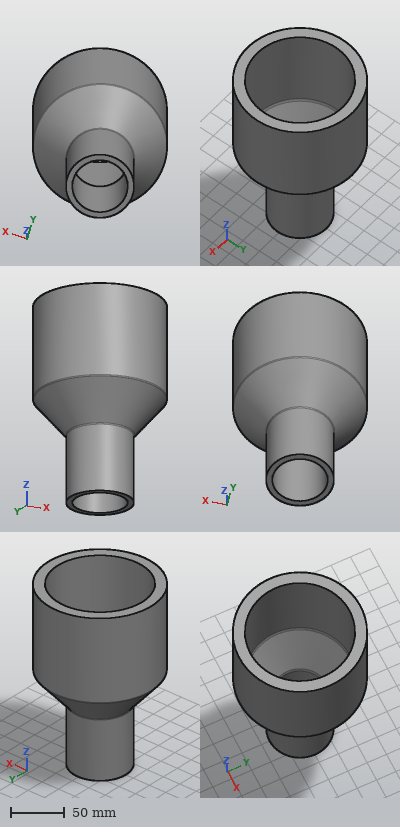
import cadquery as cq

total_height = 195.0
large_radius = 125.0 / 2
small_radius = 63.2 / 2
large_wall = 11.3
small_wall = 5.8
small_length = 67.0
large_length = 91.8
outer_blend_radius = 2.0
bore_blend_radius = 5.0

cone_bottom = small_length
cone_top = total_height - large_length


def stepped_body(wide_radius, narrow_radius, blend_radius):
    """Narrow cylinder, cone and wide cylinder about Z, with both cone edges rounded."""
    body = (
        cq.Workplane("XZ")
        .moveTo(0, 0)
        .lineTo(narrow_radius, 0)
        .lineTo(narrow_radius, cone_bottom)
        .lineTo(wide_radius, cone_top)
        .lineTo(wide_radius, total_height)
        .lineTo(0, total_height)
        .close()
        .revolve(360, (0, 0, 0), (0, 1, 0))
    )
    cone_edges = body.edges("%CIRCLE").edges("(not <Z) and (not >Z)")
    return cone_edges.fillet(blend_radius)


outside = stepped_body(large_radius, small_radius, outer_blend_radius)
bore = stepped_body(large_radius - large_wall, small_radius - small_wall, bore_blend_radius)

result = outside.cut(bore)